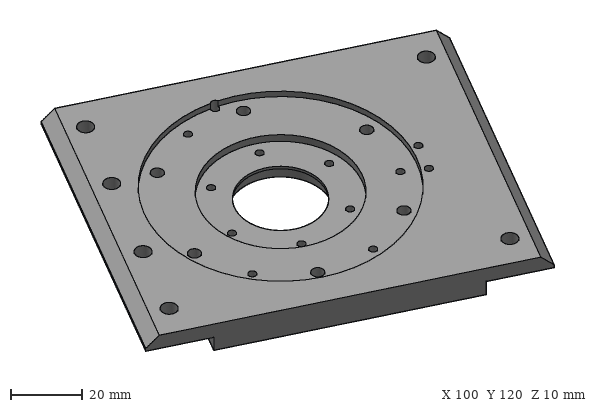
import cadquery as cq
import math

width = 100.0
length = 120.0
height = 10.0
flange_thickness = 5.0
bevel = 4.0
base_length = 80.0

recess_y = -5.0
outer_recess_diameter = base_length
outer_recess_depth = 2.0
inner_recess_diameter = 48.0
inner_recess_depth = 2.5
bore_diameter = 27.0
bore_lip = 1.0
underside_bore_diameter = 30.0

mounting_diameter = 5.0
mounting_x = 40.0
mounting_y = 50.0
middle_mounting_x = 15.0
ring_diameter = 4.0
ring_radius = 35.5
small_diameter = 2.5
inner_ring_radius = 20.0
pair_x = 5.0
pair_offset_y = 42.0
upper_hole_radius = 34.7
upper_hole_angle = 87
rim_hole_radius = 39.5
rim_hole_angle = 190.7


def polar(radius, angle):
    """Point at a radius and angle in degrees about the recess centre."""
    turn = math.radians(angle)
    return radius * math.cos(turn), recess_y + radius * math.sin(turn)


def make_plate():
    """Extrude the YZ section, symmetric about the XZ plane, along X."""
    section_half = [
        (0, 0),
        (base_length / 2, 0),
        (base_length / 2, height - flange_thickness),
        (length / 2, height - flange_thickness),
        (length / 2, height - bevel),
        (length / 2 - bevel, height),
        (0, height),
    ]
    half = cq.Workplane("YZ").polyline(section_half).close().extrude(width / 2, both=True)
    return half.union(half.mirror("XZ"))


def disc(diameter, bottom, top):
    """Round cutter on the recess axis between two heights."""
    plane = cq.Workplane("XY", origin=(0, recess_y, bottom))
    return plane.circle(diameter / 2).extrude(top - bottom)


def hole_cutters(points, diameter):
    return cq.Workplane("XY").pushPoints(points).circle(diameter / 2).extrude(height)


outer_floor = height - outer_recess_depth
inner_floor = outer_floor - inner_recess_depth
result = make_plate()
result = result.cut(disc(outer_recess_diameter, outer_floor, height))
result = result.cut(disc(inner_recess_diameter, inner_floor, height))
result = result.cut(disc(bore_diameter, 0, height))
result = result.cut(disc(underside_bore_diameter, 0, inner_floor - bore_lip))

mounting_points = [(x, y) for x in (-mounting_x, mounting_x) for y in (-mounting_y, mounting_y)]
mounting_points += [(x, -mounting_y) for x in (-middle_mounting_x, middle_mounting_x)]
result = result.cut(hole_cutters(mounting_points, mounting_diameter))

ring_points = [polar(ring_radius, angle) for angle in range(0, 360, 60)]
result = result.cut(hole_cutters(ring_points, ring_diameter))

small_points = [polar(inner_ring_radius, angle) for angle in range(0, 360, 60)]
small_points += [polar(ring_radius, angle) for angle in (30, 210, 330)]
small_points += [(x, recess_y + pair_offset_y) for x in (-pair_x, pair_x)]
small_points.append(polar(upper_hole_radius, upper_hole_angle))
small_points.append(polar(rim_hole_radius, rim_hole_angle))
result = result.cut(hole_cutters(small_points, small_diameter))